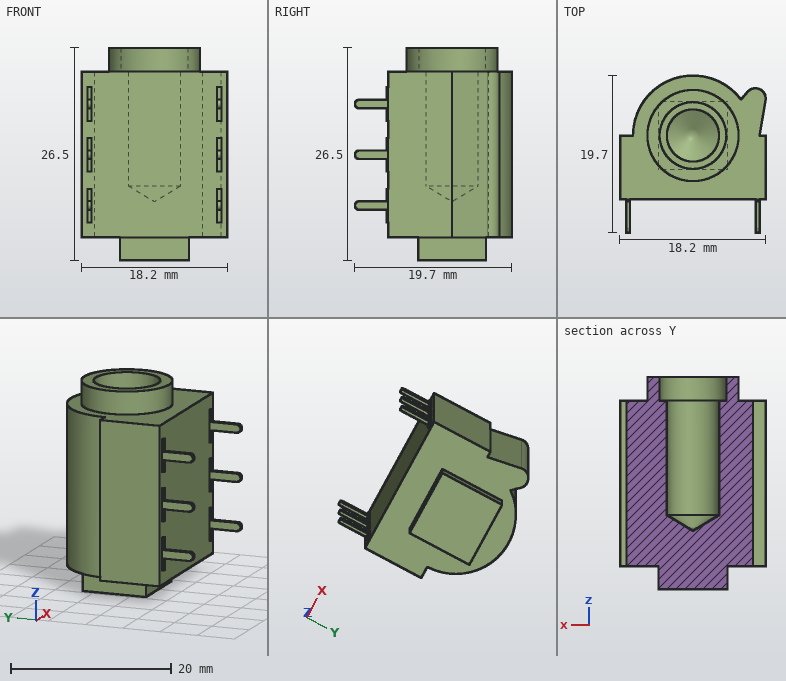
import cadquery as cq
import math

total_height = 26.53
collar_height = 2.97
tail_height = 2.87
body_height = total_height - collar_height - tail_height
body_bottom = tail_height
body_top = body_bottom + body_height

body_width = 18.2
front_depth = 7.99
dome_radius = 7.5
tail_width = 8.65
tail_depth = 8.5

tab_tip_x = 7.8
tab_tip_y = 4.62
tab_tip_radius = 1.3
tab_root_x = 8.33
tab_notch_x = 6.0

collar_radius = 5.7
recess_radius = 4.17
recess_depth = collar_height
bore_radius = 3.25
bore_depth = 17.25
bore_point_angle = 118.0

pin_offset_x = 8.1
pin_thickness = 0.5
pin_length = 4.17
pin_blade_height = 1.1
pin_pitch = 6.35
top_pin_drop = 4.03
pins_per_side = 3
pad_height = 4.2
pad_thickness = 0.25


def tangent_point(start, centre, radius, side):
    """Point where a line from start touches a circle; side is +1 (left) or -1 (right)."""
    dx = centre[0] - start[0]
    dy = centre[1] - start[1]
    distance = math.hypot(dx, dy)
    tangent_length = math.sqrt(distance**2 - radius**2)
    angle = math.atan2(dy, dx) + side * math.asin(radius / distance)
    return (
        start[0] + tangent_length * math.cos(angle),
        start[1] + tangent_length * math.sin(angle),
    )


def make_housing():
    block = cq.Workplane("XY").box(body_width, front_depth, body_height, centered=(True, False, False))
    block = block.translate((0, -front_depth, body_bottom))
    dome = cq.Workplane("XY", origin=(0, 0, body_bottom)).circle(dome_radius).extrude(body_height)
    tail = cq.Workplane("XY").rect(tail_width, tail_depth).extrude(body_bottom)
    return block.union(dome).union(tail)


def make_tab():
    tip = (tab_tip_x, tab_tip_y)
    root = (tab_root_x, 0)
    notch = (tab_notch_x, math.sqrt(dome_radius**2 - tab_notch_x**2))
    outer_touch = tangent_point(root, tip, tab_tip_radius, -1)
    inner_touch = tangent_point(notch, tip, tab_tip_radius, 1)
    crown = (tab_tip_x, tab_tip_y + tab_tip_radius)
    return (
        cq.Workplane("XY", origin=(0, 0, body_bottom))
        .moveTo(0, 0)
        .lineTo(*root)
        .lineTo(*outer_touch)
        .threePointArc(crown, inner_touch)
        .lineTo(*notch)
        .close()
        .extrude(body_height)
    )


def make_collar():
    return cq.Workplane("XY", origin=(0, 0, body_top)).circle(collar_radius).extrude(collar_height)


def make_socket_cavity():
    recess_floor = total_height - recess_depth
    cone_start = total_height - bore_depth
    cone_depth = bore_radius / math.tan(math.radians(bore_point_angle / 2))
    profile = [
        (0, total_height),
        (recess_radius, total_height),
        (recess_radius, recess_floor),
        (bore_radius, recess_floor),
        (bore_radius, cone_start),
        (0, cone_start - cone_depth),
    ]
    return cq.Workplane("XZ").polyline(profile).close().revolve(360, (0, 0), (0, 1))


def make_pin(x, z):
    """Pad lying on the front face with a round-ended blade pointing to -Y."""
    pad = cq.Workplane("XY").box(pin_thickness, pad_thickness, pad_height)
    pad = pad.translate((x, -front_depth - pad_thickness / 2, z))
    half_blade = pin_blade_height / 2
    blade_end = -front_depth - pin_length + half_blade
    blade = (
        cq.Workplane("YZ", origin=(x, 0, z))
        .moveTo(-front_depth, half_blade)
        .lineTo(blade_end, half_blade)
        .threePointArc((blade_end - half_blade, 0), (blade_end, -half_blade))
        .lineTo(-front_depth, -half_blade)
        .close()
        .extrude(pin_thickness / 2, both=True)
    )
    return pad.union(blade)


result = make_housing().union(make_tab()).union(make_collar()).cut(make_socket_cavity())
for pin_x in (-pin_offset_x, pin_offset_x):
    for row in range(pins_per_side):
        result = result.union(make_pin(pin_x, body_top - top_pin_drop - row * pin_pitch))